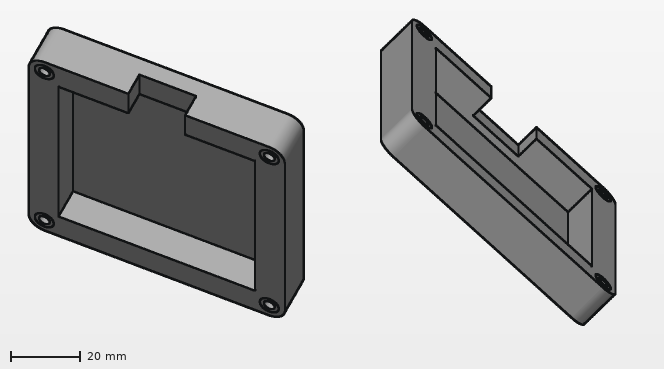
import cadquery as cq

width = 81.5
depth = 13.0
height = 82.7
corner_radius = 5.1

wall = 9.5
pocket_depth = 9.9

notch_width = 18.0
notch_depth = 7.5

hole_diameter = 3.4
recess_diameter = 6.0
recess_depth = 0.1
hole_inset = 5.0


def cut_box(size_x, size_y, size_z, bottom_z):
    """Box centred on X that reaches back from the open face at Y = 0."""
    box = cq.Workplane("XY").box(size_x, size_y, size_z, centered=(True, False, False))
    return box.translate((0, 0, bottom_z))


def corner_cylinders(diameter, length):
    """Four cylinders at the screw positions, running back from the open face."""
    return (
        cq.Workplane("XZ")
        .rect(width - 2 * hole_inset, height - 2 * hole_inset, forConstruction=True)
        .vertices()
        .circle(diameter / 2)
        .extrude(-length)
    )


body = cut_box(width, depth, height, -height / 2)
body = body.edges("|Y").fillet(corner_radius)

pocket_height = height - 2 * wall
pocket = cut_box(width - 2 * wall, pocket_depth, pocket_height, -pocket_height / 2)
notch = cut_box(notch_width, notch_depth, wall, pocket_height / 2)

result = (
    body.cut(pocket)
    .cut(notch)
    .cut(corner_cylinders(hole_diameter, depth))
    .cut(corner_cylinders(recess_diameter, recess_depth))
)